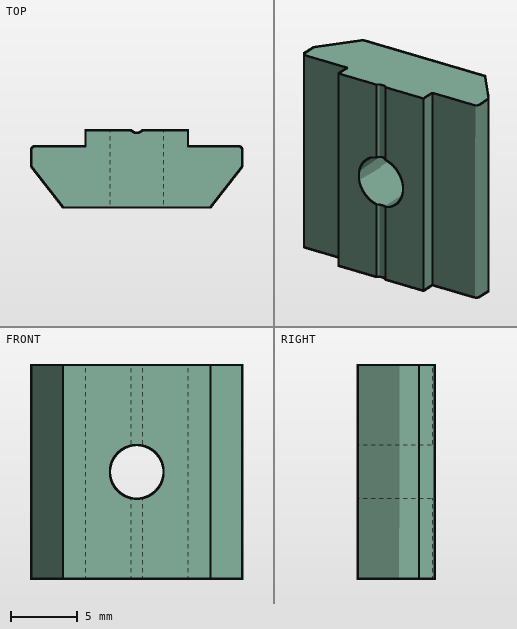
import cadquery as cq

length = 16.0
width = 15.8
depth = 5.8

front_face_width = 11.0
slope_depth = 3.07
shoulder_depth = 4.6
rib_width = 7.68
shoulder_radius = 0.3
slope_radius = 0.3

groove_width = 0.83
groove_depth = 0.2

hole_diameter = 4.0

front_y = -depth / 2
back_y = depth / 2
slope_y = front_y + slope_depth
shoulder_y = front_y + shoulder_depth


def make_body():
    """Extrude the T-nut profile and round its long outer edges."""
    body = (
        cq.Workplane("XY")
        .workplane(offset=-length / 2)
        .moveTo(-front_face_width / 2, front_y)
        .lineTo(front_face_width / 2, front_y)
        .lineTo(width / 2, slope_y)
        .lineTo(width / 2, shoulder_y)
        .lineTo(rib_width / 2, shoulder_y)
        .lineTo(rib_width / 2, back_y)
        .lineTo(groove_width / 2, back_y)
        .threePointArc((0, back_y - groove_depth), (-groove_width / 2, back_y))
        .lineTo(-rib_width / 2, back_y)
        .lineTo(-rib_width / 2, shoulder_y)
        .lineTo(-width / 2, shoulder_y)
        .lineTo(-width / 2, slope_y)
        .close()
        .extrude(length)
    )
    for corner_y, radius in ((shoulder_y, shoulder_radius), (slope_y, slope_radius)):
        for corner_x in (-width / 2, width / 2):
            edge = cq.selectors.NearestToPointSelector((corner_x, corner_y, 0))
            body = body.edges(edge).fillet(radius)
    return body


def make_hole():
    """Round hole through the full depth of the part."""
    return cq.Workplane("XZ").circle(hole_diameter / 2).extrude(depth, both=True)


result = make_body().cut(make_hole())